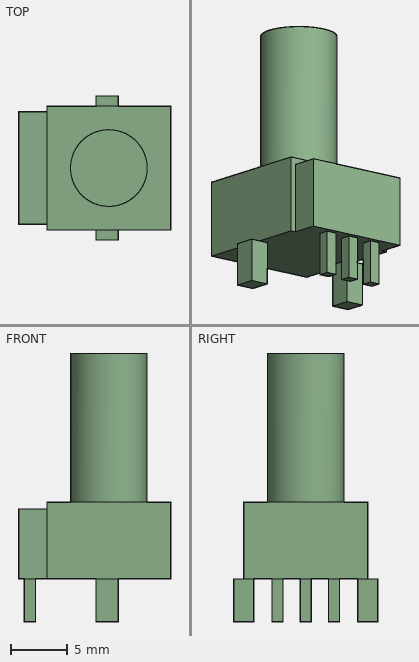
import cadquery as cq

housing_side = 11.0
housing_height = 6.8

shaft_diameter = 6.8
shaft_length = 13.2

terminal_depth = 2.5
terminal_width = 10.0
terminal_height = 6.2

leg_length = 3.8

pin_side = 1.0
pin_pitch = 2.5
pin_count = 3
pin_row_x = -7.0

lug_width = 2.0
lug_thickness = 1.8
lug_span = 12.8
lug_x = -0.15


def upright_box(size_x, size_y, height, center_x=0.0, center_y=0.0):
    """Box standing on Z = 0; a negative height hangs below it."""
    return cq.Workplane("XY").center(center_x, center_y).rect(size_x, size_y).extrude(height)


def make_shaft():
    return (
        cq.Workplane("XY")
        .workplane(offset=housing_height)
        .circle(shaft_diameter / 2)
        .extrude(shaft_length)
    )


def make_terminal_block():
    center_x = -(housing_side + terminal_depth) / 2
    return upright_box(terminal_depth, terminal_width, terminal_height, center_x)


def add_pins(body):
    for index in range(pin_count):
        pin_y = (index - (pin_count - 1) / 2) * pin_pitch
        body = body.union(upright_box(pin_side, pin_side, -leg_length, pin_row_x, pin_y))
    return body


def add_lugs(body):
    lug_y = (lug_span - lug_thickness) / 2
    for side in (-1, 1):
        body = body.union(upright_box(lug_width, lug_thickness, -leg_length, lug_x, side * lug_y))
    return body


housing = upright_box(housing_side, housing_side, housing_height)
body = housing.union(make_terminal_block()).union(make_shaft())
body = add_pins(body)
result = add_lugs(body)